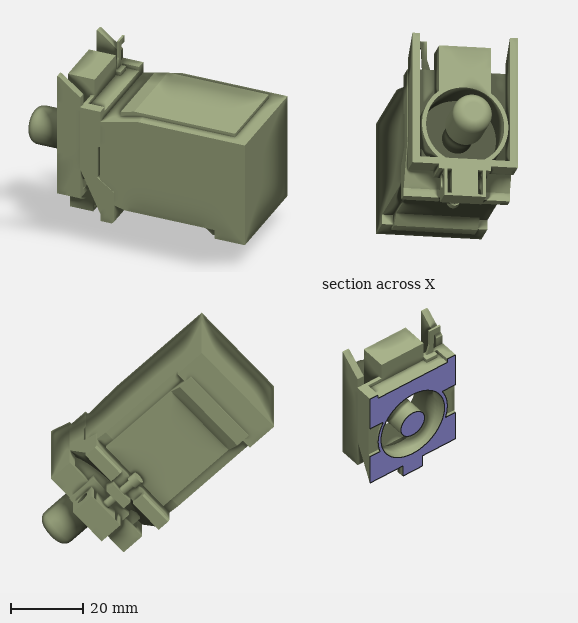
import cadquery as cq


button_radius = 5.5
button_front_x = -13.65
button_fillet = 2.75
button_shoulder_x = 0.4
stem_radius = 4.2

barrel_radius = 12.15
bore_radius = 11.0
neck_half_width = 7.3
neck_rear_x = 8.1
neck_top_z = 22.85

frame_depth = 7.0
frame_half_width = 14.8
frame_inner_half_width = 12.65
frame_top_z = 26.1
frame_bottom_z = -11.45
floor_top_z = -9.6
plate_tip_length = 0.4
plate_slope_bottom_z = 20.85
floor_block_rear_x = 8.95
floor_block_bottom_z = -12.75

clamp_half_width = 5.85
clamp_bottom_z = -20.4
clamp_slot_inner_y = 3.64
clamp_slot_outer_y = 4.97
clamp_slot_bottom_z = -19.7
pin_x = 3.4
pin_z = -15.3
pin_hole_radius = 1.95

carrier_half_width = 14.925
pocket_half_width = 12.0
carrier_top_z = 17.75
carrier_rear_x = 13.1
carrier_slope_top_z = -1.95
carrier_slope_bottom_z = -14.9
leg_rear_x = 17.2
leg_top_z = -7.15
leg_bottom_z = -17.2
leg_chamfer = 0.6
leg_gap_half_width = 4.5
relief_front_x = 12.2
relief_bottom_z = -3.55
relief_top_z = 6.15
relief_lip_z = 6.55
pocket_floor_z = 16.5

nut_front_x = 10.4
nut_half_width = 3.5
nut_top_z = -11.5
nut_bottom_z = -17.8
screw_tilt = 4.0
screw_radius = 1.17
screw_head_radius = 1.78
screw_length = 15.9
screw_head_length = 2.35

latch_front_x = 7.55
latch_rear_x = 8.15
latch_inner_y = 9.4
latch_outer_y = 13.3
latch_hook_bottom_z = 24.1
latch_stem_outer_top_y = 11.05
latch_stem_outer_bottom_y = 10.7
latch_bend_z = 20.9
latch_root_y = 8.4
latch_bar_rear_x = 9.6
latch_bar_outer_y = 11.05

body_half_width = 14.8
body_front_x = 12.95
body_rear_x = 56.7
body_top_z = 17.05
body_front_top_z = 14.4
body_top_slope_end_x = 24.6
body_front_bottom_z = -10.25
body_bottom_slope_end_x = 20.55
body_bottom_z = -12.17
body_heel_x = 47.5
body_heel_z = -14.9

pad_half_width = 11.75
pad_front_x = 17.8
pad_slope_end_x = 21.95
pad_rear_x = 52.4
pad_top_z = 18.2
rail_bottom_z = -13.2
foot_ramp_start_x = 42.3
foot_ramp_end_x = 45.65
foot_rear_x = 49.8
foot_bottom_z = -15.74


def box(x0, x1, y0, y1, z0, z1):
    return cq.Workplane("XY").box(x1 - x0, y1 - y0, z1 - z0, centered=False).translate((x0, y0, z0))


def side_profile(points, y0, y1):
    """Extrude an (X, Z) outline from y0 to y1."""
    return cq.Workplane("XZ", origin=(0, y1, 0)).polyline(points).close().extrude(y1 - y0)


def x_cylinder(radius, x0, x1):
    return cq.Workplane("YZ", origin=(x0, 0, 0)).circle(radius).extrude(x1 - x0)


def make_button():
    cap = x_cylinder(button_radius, button_front_x, button_shoulder_x)
    cap = cap.faces("<X").edges().fillet(button_fillet)
    return cap.union(x_cylinder(stem_radius, button_shoulder_x, body_front_x))


def make_frame():
    plate_outline = [
        (0, frame_bottom_z),
        (frame_depth, frame_bottom_z),
        (frame_depth, plate_slope_bottom_z),
        (plate_tip_length, frame_top_z),
        (0, frame_top_z),
    ]
    floor = box(0, frame_depth, -frame_half_width, frame_half_width, frame_bottom_z, floor_top_z)
    floor_block = box(
        0, floor_block_rear_x, -neck_half_width, neck_half_width, floor_block_bottom_z, floor_top_z
    )
    left_plate = side_profile(plate_outline, frame_inner_half_width, frame_half_width)
    right_plate = side_profile(plate_outline, -frame_half_width, -frame_inner_half_width)
    return floor.union(floor_block).union(left_plate).union(right_plate)


def make_barrel():
    below_floor = box(0, frame_depth, -barrel_radius, barrel_radius, -barrel_radius, floor_top_z)
    barrel = x_cylinder(barrel_radius, 0, carrier_rear_x).cut(below_floor)
    neck = box(0, neck_rear_x, -neck_half_width, neck_half_width, 0, neck_top_z)
    return barrel.union(neck)


def make_bore():
    below_floor = box(0, frame_depth, -bore_radius, bore_radius, -bore_radius, floor_top_z)
    return x_cylinder(bore_radius, 0, body_front_x).cut(below_floor)


def make_clamp():
    clamp = box(
        0, frame_depth, -clamp_half_width, clamp_half_width, clamp_bottom_z, floor_block_bottom_z
    )
    for y0 in (clamp_slot_inner_y, -clamp_slot_outer_y):
        y1 = y0 + clamp_slot_outer_y - clamp_slot_inner_y
        clamp = clamp.cut(box(0, frame_depth, y0, y1, clamp_slot_bottom_z, floor_block_bottom_z))
    hole = (
        cq.Workplane("XZ", origin=(pin_x, clamp_half_width, pin_z))
        .circle(pin_hole_radius)
        .extrude(2 * clamp_half_width)
    )
    core = box(
        0, frame_depth, -clamp_slot_inner_y, clamp_slot_inner_y, clamp_bottom_z, floor_block_bottom_z
    )
    return clamp.cut(hole.cut(core))


def make_carrier():
    outline = [
        (frame_depth, carrier_top_z),
        (carrier_rear_x, carrier_top_z),
        (carrier_rear_x, relief_lip_z),
        (relief_front_x, relief_top_z),
        (relief_front_x, relief_bottom_z),
        (leg_rear_x, leg_top_z),
        (leg_rear_x, leg_bottom_z + leg_chamfer),
        (leg_rear_x - leg_chamfer, leg_bottom_z),
        (carrier_rear_x, leg_bottom_z),
        (carrier_rear_x, carrier_slope_bottom_z),
        (frame_depth, carrier_slope_top_z),
    ]
    carrier = side_profile(outline, -carrier_half_width, carrier_half_width)
    pocket = box(
        neck_rear_x,
        carrier_rear_x,
        -pocket_half_width,
        pocket_half_width,
        pocket_floor_z,
        carrier_top_z,
    )
    leg_gap = box(
        carrier_rear_x,
        leg_rear_x,
        -leg_gap_half_width,
        leg_gap_half_width,
        leg_bottom_z,
        carrier_slope_bottom_z,
    )
    return carrier.cut(pocket).cut(leg_gap)


def make_latch():
    outline = [
        (latch_outer_y, frame_top_z),
        (latch_inner_y, frame_top_z),
        (latch_inner_y, latch_bend_z),
        (latch_root_y, carrier_top_z),
        (latch_stem_outer_bottom_y, carrier_top_z),
        (latch_stem_outer_top_y, latch_hook_bottom_z),
        (latch_outer_y, latch_hook_bottom_z),
    ]
    arm = (
        cq.Workplane("YZ", origin=(latch_front_x, 0, 0))
        .polyline(outline)
        .close()
        .extrude(latch_rear_x - latch_front_x)
    )
    bar = box(
        frame_depth, latch_bar_rear_x, neck_half_width, latch_bar_outer_y, floor_top_z, carrier_top_z
    )
    return arm.union(bar)


def make_nut_and_screw():
    nut = box(nut_front_x, carrier_rear_x, -nut_half_width, nut_half_width, nut_bottom_z, nut_top_z)
    shaft = x_cylinder(screw_radius, 0, screw_length)
    head = x_cylinder(screw_head_radius, screw_length - screw_head_length, screw_length)
    screw = shaft.union(head).rotate((0, 0, 0), (0, 1, 0), screw_tilt)
    return nut.union(screw.translate((pin_x, 0, pin_z)))


def make_body():
    outline = [
        (body_front_x, body_front_bottom_z),
        (body_front_x, body_front_top_z),
        (body_top_slope_end_x, body_top_z),
        (body_rear_x, body_top_z),
        (body_rear_x, body_heel_z),
        (body_heel_x, body_heel_z),
        (body_heel_x, body_bottom_z),
        (body_bottom_slope_end_x, body_bottom_z),
    ]
    pad_outline = [
        (pad_front_x, body_front_top_z),
        (pad_front_x, body_top_z),
        (pad_slope_end_x, pad_top_z),
        (pad_rear_x, pad_top_z),
        (pad_rear_x, body_front_top_z),
    ]
    rail_outline = [
        (pad_front_x, body_front_bottom_z),
        (pad_front_x, rail_bottom_z),
        (foot_ramp_start_x, rail_bottom_z),
        (foot_ramp_end_x, foot_bottom_z),
        (foot_rear_x, foot_bottom_z),
        (foot_rear_x, body_front_bottom_z),
    ]
    body = side_profile(outline, -body_half_width, body_half_width)
    for extra in (pad_outline, rail_outline):
        body = body.union(side_profile(extra, -pad_half_width, pad_half_width))
    return body


housing = make_carrier().union(make_barrel()).union(make_frame()).union(make_latch())
result = housing.union(make_body()).cut(make_bore())
for component in (make_clamp(), make_nut_and_screw(), make_button()):
    result = result.union(component)